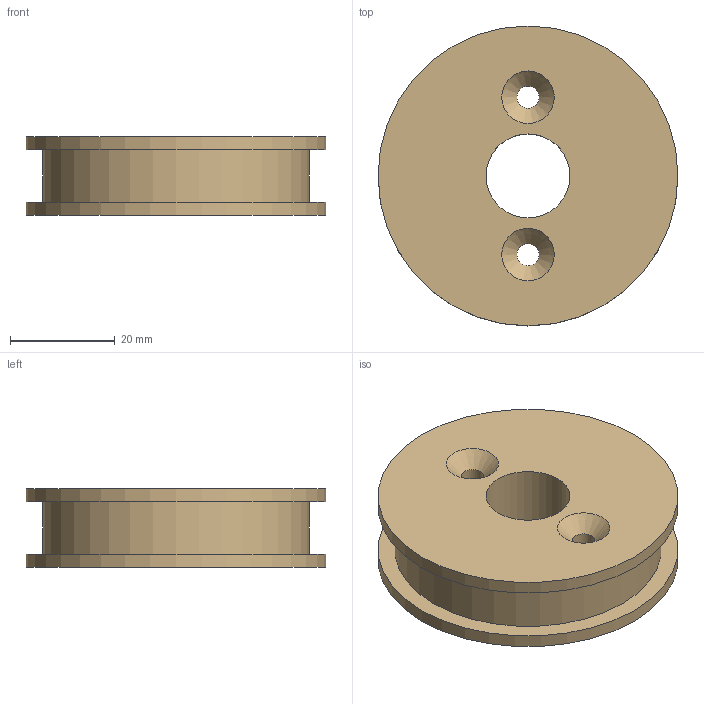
import cadquery as cq

flange_diameter = 57.15
drum_diameter = 50.8
total_height = 15.0
flange_thickness = 2.5
drum_height = total_height - 2 * flange_thickness

bore_diameter = 16.0

screw_hole_diameter = 4.23
countersink_diameter = 10.0
countersink_angle = 90.0
screw_hole_spacing = 30.0


def make_flanged_drum():
    """Drum between two equal flanges, standing on Z = 0."""
    return (
        cq.Workplane("XY")
        .circle(flange_diameter / 2)
        .extrude(flange_thickness)
        .faces(">Z")
        .workplane()
        .circle(drum_diameter / 2)
        .extrude(drum_height)
        .faces(">Z")
        .workplane()
        .circle(flange_diameter / 2)
        .extrude(flange_thickness)
    )


def cut_bore(body):
    """Through bore on the drum axis."""
    return body.faces(">Z").workplane().hole(bore_diameter)


def cut_screw_holes(body):
    """Through holes countersunk from the top, one on each side of the bore."""
    return (
        body.faces(">Z")
        .workplane(origin=(0, 0, total_height))
        .pushPoints([(0, -screw_hole_spacing / 2), (0, screw_hole_spacing / 2)])
        .cskHole(screw_hole_diameter, countersink_diameter, countersink_angle)
    )


result = cut_screw_holes(cut_bore(make_flanged_drum()))